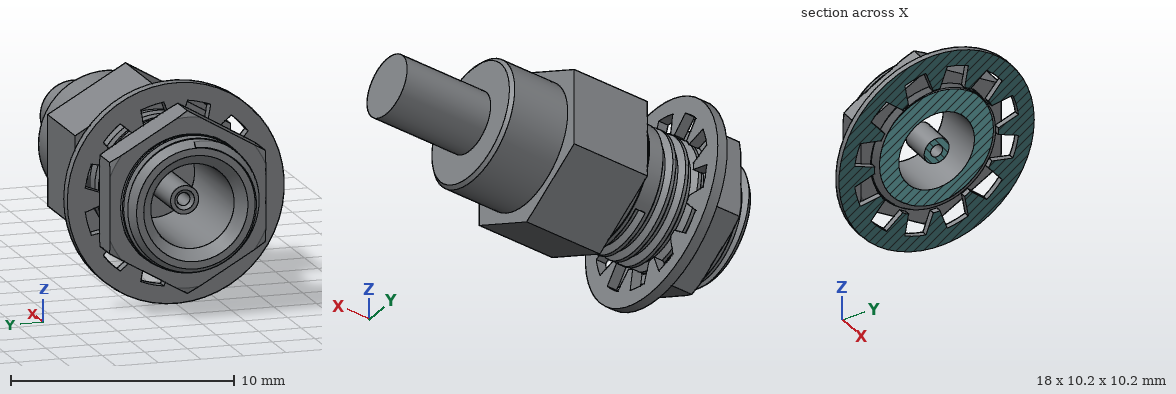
import cadquery as cq
import math

overall_length = 18.02

inch = 25.4
threads_per_inch = 36
thread_pitch = inch / threads_per_inch
thread_turns = 7.6
thread_length = 5.8
crest_radius = 3.13
root_radius = 2.80
root_flat = 0.15
flank_angle = math.radians(30)
thread_start = 0.03
relief_radius = 3.06
front_face_radius = 2.79

bore_radius = 1.96
bore_mouth_radius = 2.45

hex_across_flats = 7.32
hex_across_corners = hex_across_flats / math.cos(math.radians(30))
body_hex_start = 6.3
body_hex_end = 10.33

ferrule_radius = 3.16
ferrule_end = 13.42
ferrule_chamfer = 0.17
cable_radius = 1.55

nut_start = 1.15
nut_thickness = 1.59
nut_chamfer_radius = 3.95
nut_chamfer_angle = math.radians(18)
nut_bore_radius = 3.17

washer_start = 2.94
washer_thickness = 0.52
washer_radius = 5.105
tooth_count = 12
tooth_root_radius = 4.29
tooth_tip_radius = 3.22
slot_flare = math.radians(5)

contact_start = 1.65
contact_radius = 0.66
contact_hole_radius = 0.30
contact_mouth_radius = 0.46
contact_hole_depth = 2.0
drill_tip_angle = math.radians(59)


def revolved(profile):
    """Turn an (x, radius) outline around the X axis."""
    outline = cq.Workplane("XY").polyline(profile).close()
    return outline.revolve(360, (0, 0, 0), (1, 0, 0))


def hexagon(start, length):
    """Hexagonal prism along X."""
    plane = cq.Workplane("YZ", origin=(start, 0, 0))
    prism = plane.polygon(6, hex_across_corners).extrude(length)
    return prism.rotate((0, 0, 0), (1, 0, 0), 90)


def thread_groove():
    """Right-handed V groove that starts at +Z, with a flat root."""
    overcut = 0.1
    outer_radius = crest_radius + overcut
    root_half = root_flat / 2
    outer_half = root_half + (outer_radius - root_radius) * math.tan(flank_angle)
    section = [
        (root_radius, -root_half),
        (outer_radius, -outer_half),
        (outer_radius, outer_half),
        (root_radius, root_half),
    ]
    path = cq.Wire.makeHelix(thread_pitch, thread_pitch * thread_turns, root_radius)
    groove = cq.Workplane("XZ").polyline(section).close().sweep(path, isFrenet=True)
    along_x = groove.rotate((0, 0, 0), (0, 1, 0), 90)
    return along_x.rotate((0, 0, 0), (1, 0, 0), 180).translate((thread_start, 0, 0))


def make_housing():
    """Threaded barrel, wrench hexagon, ferrule and cable stub in one piece."""
    front_chamfer = crest_radius - front_face_radius
    barrel = revolved([
        (0, 0),
        (0, front_face_radius),
        (front_chamfer, crest_radius),
        (thread_length, crest_radius),
        (thread_length, relief_radius),
        (body_hex_start, relief_radius),
        (body_hex_start, 0),
    ])
    barrel = barrel.cut(thread_groove())
    tail = revolved([
        (body_hex_start, 0),
        (body_hex_start, ferrule_radius),
        (ferrule_end - ferrule_chamfer, ferrule_radius),
        (ferrule_end, ferrule_radius - ferrule_chamfer),
        (ferrule_end, cable_radius),
        (overall_length, cable_radius),
        (overall_length, 0),
    ])
    bore = revolved([
        (0, 0),
        (0, bore_mouth_radius),
        (bore_mouth_radius - bore_radius, bore_radius),
        (body_hex_start, bore_radius),
        (body_hex_start, 0),
    ])
    wrench_hex = hexagon(body_hex_start, body_hex_end - body_hex_start)
    return barrel.cut(bore).union(tail).union(wrench_hex)


def make_nut():
    """Hexagon nut with both faces chamfered, with a plain bore that clears the thread crests."""
    nut_end = nut_start + nut_thickness
    corner_radius = hex_across_corners / 2
    chamfer_depth = (corner_radius - nut_chamfer_radius) * math.tan(nut_chamfer_angle)
    envelope = revolved([
        (nut_start, nut_bore_radius),
        (nut_start, nut_chamfer_radius),
        (nut_start + chamfer_depth, corner_radius),
        (nut_end - chamfer_depth, corner_radius),
        (nut_end, nut_chamfer_radius),
        (nut_end, nut_bore_radius),
    ])
    return hexagon(nut_start, nut_thickness).intersect(envelope)


def make_washer():
    """Flat ring with slots cut between its internal teeth."""
    plane = cq.Workplane("YZ", origin=(washer_start, 0, 0))
    washer = plane.circle(washer_radius).circle(tooth_tip_radius).extrude(washer_thickness)

    tooth_step = 360 / tooth_count
    half_slot_angle = math.radians(tooth_step / 4)
    corner_x = tooth_root_radius * math.cos(half_slot_angle)
    corner_y = tooth_root_radius * math.sin(half_slot_angle)
    inner_x = tooth_tip_radius * math.cos(2 * half_slot_angle)
    inner_y = corner_y + (corner_x - inner_x) * math.tan(slot_flare)
    slot = (
        plane.moveTo(inner_x, -inner_y)
        .lineTo(corner_x, -corner_y)
        .threePointArc((tooth_root_radius, 0), (corner_x, corner_y))
        .lineTo(inner_x, inner_y)
        .close()
        .extrude(washer_thickness)
    )
    for index in range(tooth_count):
        angle = (index + 0.5) * tooth_step
        washer = washer.cut(slot.rotate((0, 0, 0), (1, 0, 0), angle))
    return washer


def make_contact():
    """Socket pin standing on the floor of the bore, with a countersunk blind hole."""
    hole_end = contact_start + contact_hole_depth
    drill_tip = contact_hole_radius / math.tan(drill_tip_angle)
    countersink = contact_mouth_radius - contact_hole_radius
    return revolved([
        (contact_start, contact_mouth_radius),
        (contact_start, contact_radius),
        (body_hex_start, contact_radius),
        (body_hex_start, 0),
        (hole_end + drill_tip, 0),
        (hole_end, contact_hole_radius),
        (contact_start + countersink, contact_hole_radius),
    ])


housing = make_housing()
nut = make_nut()
washer = make_washer()
contact = make_contact()

result = cq.Compound.makeCompound([housing.val(), nut.val(), washer.val(), contact.val()])